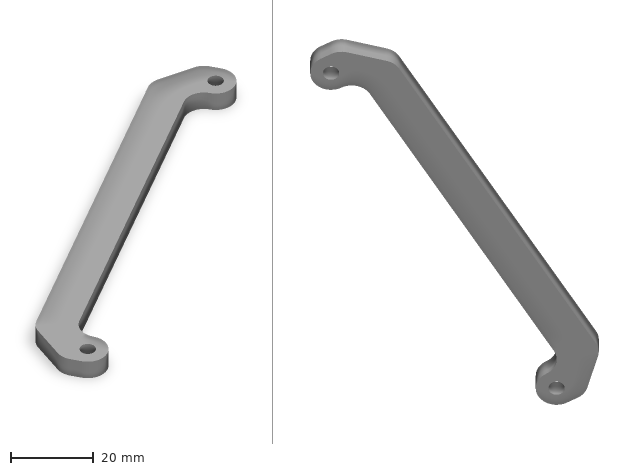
import cadquery as cq

length = 120.0
width = 20.0
thickness = 5.0
end_radius = 5.0
bend_radius = 5.0
hole_diameter = 4.0
corner_chamfer = 10.0

left = -width / 2
half_length = length / 2
hole_x = width / 2 - end_radius
hole_y = half_length - end_radius
neck_y = hole_y - end_radius
inner_radius = 5.0
bar_right = hole_x - inner_radius
bend_y = neck_y - inner_radius


def make_body():
    """Bracket plate with sharp chamfered corners, rounded ends and concave inner bends."""
    outline = (
        cq.Workplane("XY")
        .moveTo(left, corner_chamfer - half_length)
        .lineTo(left + corner_chamfer, -half_length)
        .lineTo(hole_x, -half_length)
        .radiusArc((hole_x, -neck_y), -end_radius)
        .radiusArc((bar_right, -bend_y), inner_radius)
        .lineTo(bar_right, bend_y)
        .radiusArc((hole_x, neck_y), inner_radius)
        .radiusArc((hole_x, half_length), -end_radius)
        .lineTo(left + corner_chamfer, half_length)
        .lineTo(left, half_length - corner_chamfer)
        .close()
    )
    return outline.extrude(thickness)


def round_chamfer_corners(body):
    """Fillet the upright edges where the chamfers meet the straight sides."""
    for side in (-1, 1):
        corners = (
            (left, side * (half_length - corner_chamfer)),
            (left + corner_chamfer, side * half_length),
        )
        for x, y in corners:
            corner_edge = cq.selectors.NearestToPointSelector((x, y, thickness / 2))
            body = body.edges(corner_edge).fillet(bend_radius)
    return body


def drill_holes(body):
    """Drill a through hole concentric with each rounded end."""
    hole_centres = [(hole_x, -hole_y), (hole_x, hole_y)]
    holes = (
        cq.Workplane("XY")
        .pushPoints(hole_centres)
        .circle(hole_diameter / 2)
        .extrude(thickness)
    )
    return body.cut(holes)


result = drill_holes(round_chamfer_corners(make_body()))